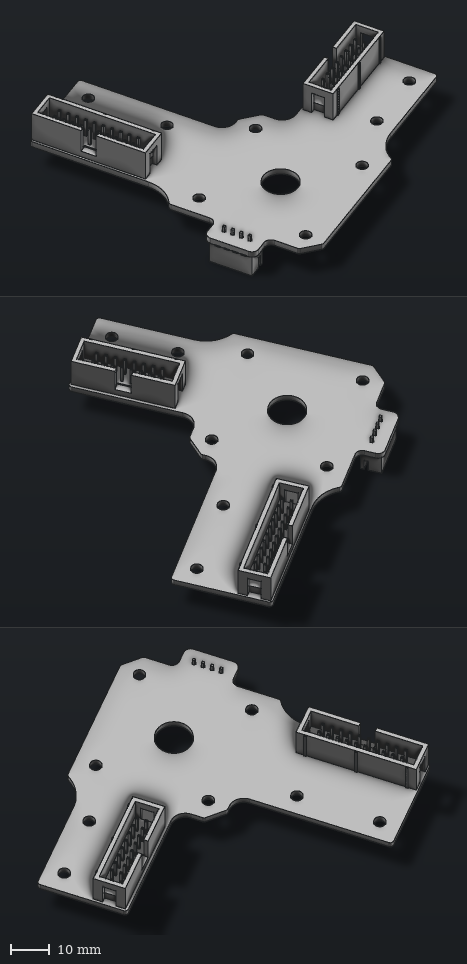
import cadquery as cq
import math


board_t = 1.8
body_half = 21.2
left_end = body_half - 85.8
arm_top = 56.2
arm_edge = 16.05
left_arm_top = 11.3
upper_arm_left = -8.9
tail_w = 15.0
tail_bottom = arm_top - 84.3
corner_cut = 4.6
sweep_r = 10.0
inner_r = 4.0
tail_r = 2.0
corner_r = 1.0
sweep_corner_r = 0.9

axis_hole_d = 10.0
mount_hole_d = 3.2
motor_hole_pitch = 31.0
arm_hole_inset = 5.4

pitch = 2.54
pin_w = 0.64
header_hole_d = 0.95
header_gap = 0.2
header_top = 9.0
header_depth = 8.8
header_end = 5.15
wall = 1.2
cavity_depth = 6.5
key_w = 4.4
key_depth = 6.95
key_reach = 2.0
window_w = 3.7
window_drop = 2.3
window_reach = 1.4
rib_w = 0.7
rib_out = 0.3
rib_drop = 0.3
rib_inset = 2.6
pin_drop = 1.0
pin_out = 1.3
pin_chamfer = 0.215
left_header_pins = 10
left_header_at = (-47.6, -11.15)
upper_header_pins = 8
upper_header_at = (-3.8, 41.6)

tail_pins = 4
tail_pitch = 2.505
tail_pin_y = -23.9
tail_hole_d = 1.0
tail_pin_out = 1.55
connector_w = 12.35
connector_h = 6.95
connector_front = -27.4
connector_back = -21.6
slot_wall = 1.0
slot_w = 1.0
slot_h = 3.35
recess_w = 1.55
recess_h = 0.8
recess_drop = 0.3
recess_depth = 0.4


def block(x0, x1, y0, y1, z0, z1):
    """Box between two opposite corners."""
    return cq.Workplane("XY").box(x1 - x0, y1 - y0, z1 - z0, centered=False).translate((x0, y0, z0))


def row(count, step):
    """Positions of evenly spaced items, centred on zero."""
    return [(i - (count - 1) / 2) * step for i in range(count)]


def header_pin_points(count):
    """Pin positions of a two-row header that lies along X."""
    return [(x, y) for x in row(count, pitch) for y in row(2, pitch)]


def turned(points):
    """The points turned a quarter turn clockwise."""
    return [(y, -x) for x, y in points]


def moved(points, to):
    """The points shifted by the given offset."""
    return [(x + to[0], y + to[1]) for x, y in points]


def round_corners(solid, points, radius):
    """Fillet the vertical edges that stand at the given points."""
    for x, y in points:
        solid = solid.edges("|Z").edges(cq.NearestToPointSelector((x, y, -board_t / 2))).fillet(radius)
    return solid


def make_board():
    b = body_half
    cut = b - corner_cut
    tail_half = tail_w / 2
    rise = b - arm_edge
    run = math.sqrt(sweep_r**2 - (sweep_r - rise) ** 2)
    half_angle = math.asin(run / sweep_r) / 2
    mid_run = run - sweep_r * math.sin(half_angle)
    mid_rise = rise - sweep_r * (1 - math.cos(half_angle))

    board = (
        cq.Workplane("XY", origin=(0, 0, -board_t))
        .moveTo(left_end, left_arm_top)
        .lineTo(left_end, -arm_edge)
        .lineTo(-b - run, -arm_edge)
        .threePointArc((-b - mid_run, -b + mid_rise), (-b, -b))
        .lineTo(-tail_half, -b)
        .lineTo(-tail_half, tail_bottom)
        .lineTo(tail_half, tail_bottom)
        .lineTo(tail_half, -b)
        .lineTo(cut, -b)
        .lineTo(b, -cut)
        .lineTo(b, b)
        .threePointArc((b - mid_rise, b + mid_run), (arm_edge, b + run))
        .lineTo(arm_edge, arm_top)
        .lineTo(upper_arm_left, arm_top)
        .lineTo(upper_arm_left, b)
        .lineTo(-cut, b)
        .lineTo(-b, cut)
        .lineTo(-b, left_arm_top)
        .close()
        .extrude(board_t)
    )
    arm_corners = [
        (left_end, left_arm_top),
        (left_end, -arm_edge),
        (arm_edge, arm_top),
        (upper_arm_left, arm_top),
    ]
    cut_corners = [(cut, -b), (b, -cut), (-cut, b), (-b, cut)]
    tail_corners = [(sx * tail_half, y) for sx in (-1, 1) for y in (-b, tail_bottom)]
    board = round_corners(board, arm_corners + cut_corners, corner_r)
    board = round_corners(board, tail_corners, tail_r)
    board = round_corners(board, [(upper_arm_left, b), (-b, left_arm_top)], inner_r)
    board = round_corners(board, [(-b, -b), (b, b)], sweep_corner_r)

    left_span = (left_header_pins - 1) * pitch
    upper_span = (upper_header_pins - 1) * pitch
    mounts = [(x, y) for x in row(2, motor_hole_pitch) for y in row(2, motor_hole_pitch)]
    mounts += [(left_header_at[0] + dx, left_arm_top - arm_hole_inset) for dx in row(2, left_span)]
    mounts += [(arm_edge - arm_hole_inset, upper_header_at[1] + dy) for dy in row(2, upper_span)]
    header_holes = moved(header_pin_points(left_header_pins), left_header_at)
    header_holes += moved(turned(header_pin_points(upper_header_pins)), upper_header_at)
    tail_holes = [(x, tail_pin_y) for x in row(tail_pins, tail_pitch)]

    for points, diameter in (
        ([(0, 0)], axis_hole_d),
        (mounts, mount_hole_d),
        (header_holes, header_hole_d),
        (tail_holes, tail_hole_d),
    ):
        holes = cq.Workplane("XY").pushPoints(points).circle(diameter / 2).extrude(-board_t)
        board = board.cut(holes)
    return board


def make_header(count):
    """Box header along X with the key slot on -Y, centred on the origin."""
    half_l = (count - 1) * pitch / 2 + header_end
    half_d = header_depth / 2
    floor = header_top - cavity_depth

    header = block(-half_l, half_l, -half_d, half_d, header_gap, header_top)
    for x in (rib_inset - half_l, 0, half_l - rib_inset):
        rib = block(x - rib_w / 2, x + rib_w / 2, 0, half_d + rib_out, header_gap, header_top - rib_drop)
        header = header.union(rib)
    cavity = block(wall - half_l, half_l - wall, wall - half_d, half_d - wall, floor, header_top)
    header = header.cut(cavity)
    key_floor = header_top - key_depth
    key = block(-key_w / 2, key_w / 2, -half_d, key_reach - half_d, key_floor, header_top)
    header = header.cut(key)
    for x0, x1 in ((-half_l, window_reach - half_l), (half_l - window_reach, half_l)):
        window = block(x0, x1, -window_w / 2, window_w / 2, header_gap, header_top - window_drop)
        header = header.cut(window)

    pin_bottom = -board_t - pin_out
    pins = (
        cq.Workplane("XY", origin=(0, 0, pin_bottom))
        .pushPoints(header_pin_points(count))
        .rect(pin_w, pin_w)
        .extrude(header_top - pin_drop - pin_bottom)
        .faces("<Z or >Z")
        .chamfer(pin_chamfer)
    )
    return header.union(pins)


def make_connector():
    """Connector under the tail, with its pins passing up through the board."""
    half_w = connector_w / 2
    bottom = -board_t - connector_h
    connector = block(-half_w, half_w, connector_front, connector_back, bottom, -board_t)

    slot_back = connector_back - slot_wall
    slot = block(-half_w, half_w, slot_back - slot_w, slot_back, bottom, bottom + slot_h)
    connector = connector.cut(slot)

    recess_top = -board_t - recess_drop
    for x in row(tail_pins, tail_pitch):
        recess = block(
            x - recess_w / 2,
            x + recess_w / 2,
            connector_front,
            connector_front + recess_depth,
            recess_top - recess_h,
            recess_top,
        )
        connector = connector.cut(recess)

    pins = (
        cq.Workplane("XY", origin=(0, 0, -board_t))
        .pushPoints([(x, tail_pin_y) for x in row(tail_pins, tail_pitch)])
        .rect(pin_w, pin_w)
        .extrude(board_t + tail_pin_out)
    )
    return connector.union(pins)


board = make_board()
left_header = make_header(left_header_pins).translate((*left_header_at, 0))
upper_header = make_header(upper_header_pins).rotate((0, 0, 0), (0, 0, 1), -90)
upper_header = upper_header.translate((*upper_header_at, 0))
connector = make_connector()

result = cq.Compound.makeCompound([board.val(), left_header.val(), upper_header.val(), connector.val()])